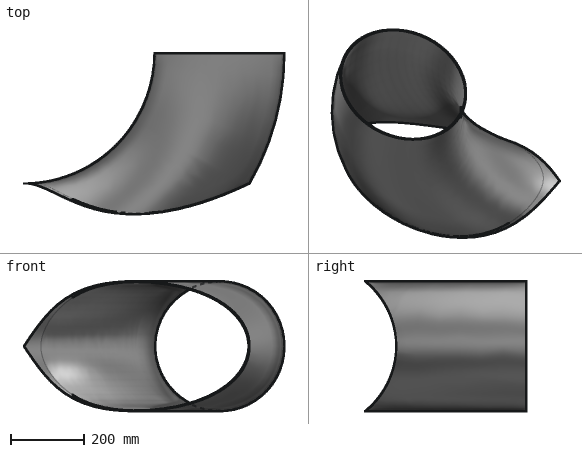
import cadquery as cq

pipe_diameter = 355.5
wall = 3.0
bend_radius = 1.5 * pipe_diameter
bend_angle = 90.0
main_pipe_diameter = 457.0

pipe_radius = pipe_diameter / 2
main_pipe_radius = main_pipe_diameter / 2
inside_bend_radius = bend_radius - pipe_radius
outside_bend_radius = bend_radius + pipe_radius
main_pipe_axis_y = -(inside_bend_radius + main_pipe_radius)


def make_elbow():
    """Bent pipe about the Z axis, from the open end on the XZ plane round towards -Y."""
    pipe_section = (
        cq.Workplane("XZ")
        .center(bend_radius, 0)
        .circle(pipe_radius)
        .circle(pipe_radius - wall)
    )
    return pipe_section.revolve(bend_angle, (-bend_radius, 0), (-bend_radius, -1))


def make_main_pipe():
    """Straight pipe along X, touching the inside of the bend at the sharp tip."""
    overrun = pipe_diameter
    length = outside_bend_radius + 2 * overrun
    return (
        cq.Workplane("ZY", origin=(outside_bend_radius + overrun, 0, 0))
        .center(0, main_pipe_axis_y)
        .circle(main_pipe_radius)
        .extrude(length)
    )


result = make_elbow().cut(make_main_pipe())